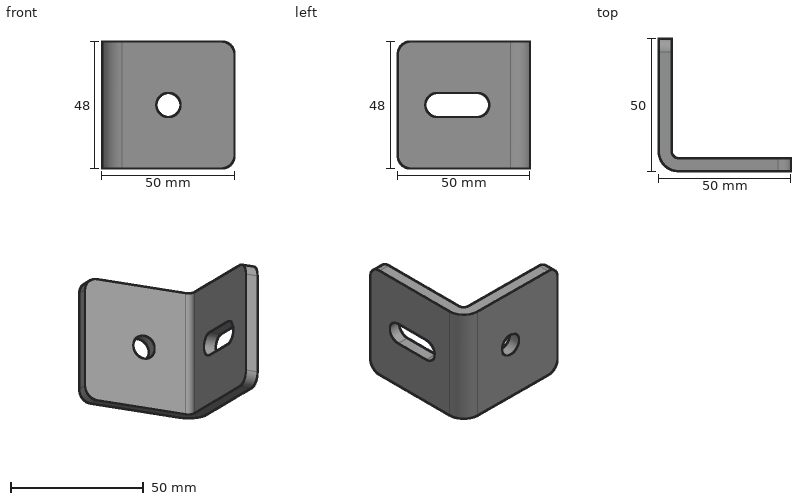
import cadquery as cq

leg_length = 50.0
height = 48.0
thickness = 5.0

inner_bend_radius = 2.5
outer_bend_radius = inner_bend_radius + thickness
corner_radius = 5.0

opening_width = 9.0
hole_x = leg_length / 2
slot_length = 24.0
slot_y = 27.5
mid_height = height / 2


def bent_plate():
    """L-shaped plate with its outer corner at the origin and a rounded bend."""
    plate = (
        cq.Workplane("XY")
        .moveTo(0, 0)
        .lineTo(leg_length, 0)
        .lineTo(leg_length, thickness)
        .lineTo(thickness, thickness)
        .lineTo(thickness, leg_length)
        .lineTo(0, leg_length)
        .close()
        .extrude(height)
    )
    outer_corner = cq.selectors.NearestToPointSelector((0, 0, mid_height))
    inner_corner = cq.selectors.NearestToPointSelector((thickness, thickness, mid_height))
    plate = plate.edges(inner_corner).fillet(inner_bend_radius)
    return plate.edges(outer_corner).fillet(outer_bend_radius)


def round_free_corners(plate):
    """Round the top and bottom corners at the free end of each leg."""
    plate = plate.faces(">X").edges("|Y").fillet(corner_radius)
    return plate.faces(">Y").edges("|X").fillet(corner_radius)


def round_hole():
    """Cutter for the hole through the leg that runs along X."""
    return (
        cq.Workplane("XZ")
        .center(hole_x, mid_height)
        .circle(opening_width / 2)
        .extrude(-thickness)
    )


def slot():
    """Cutter for the slot through the leg that runs along Y."""
    return (
        cq.Workplane("YZ")
        .center(slot_y, mid_height)
        .slot2D(slot_length, opening_width)
        .extrude(thickness)
    )


result = round_free_corners(bent_plate()).cut(round_hole()).cut(slot())